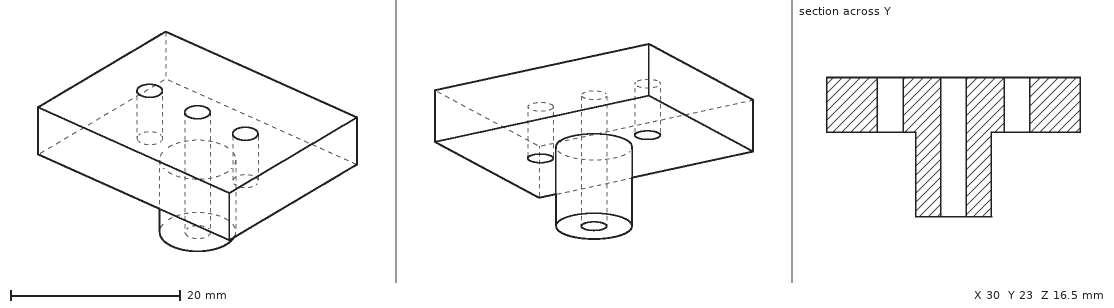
import cadquery as cq

plate_length = 30.0
plate_width = 23.0
total_height = 16.5
boss_length = 10.0
plate_thickness = total_height - boss_length

boss_diameter = 9.0

hole_diameter = 3.0
hole_spacing = plate_length / 4
hole_count = 3


def make_plate():
    """Plate with its underside on the XY plane."""
    return cq.Workplane("XY").box(
        plate_length, plate_width, plate_thickness, centered=(True, True, False)
    )


def make_boss():
    """Cylinder hanging from the underside of the plate."""
    return cq.Workplane("XY").circle(boss_diameter / 2).extrude(-boss_length)


def make_holes():
    """Cutting cylinders spanning the full height of the part."""
    return (
        cq.Workplane("XY")
        .workplane(offset=-boss_length)
        .rarray(hole_spacing, 0.3, hole_count, 1)
        .circle(hole_diameter / 2)
        .extrude(total_height)
    )


result = make_plate().union(make_boss()).cut(make_holes())